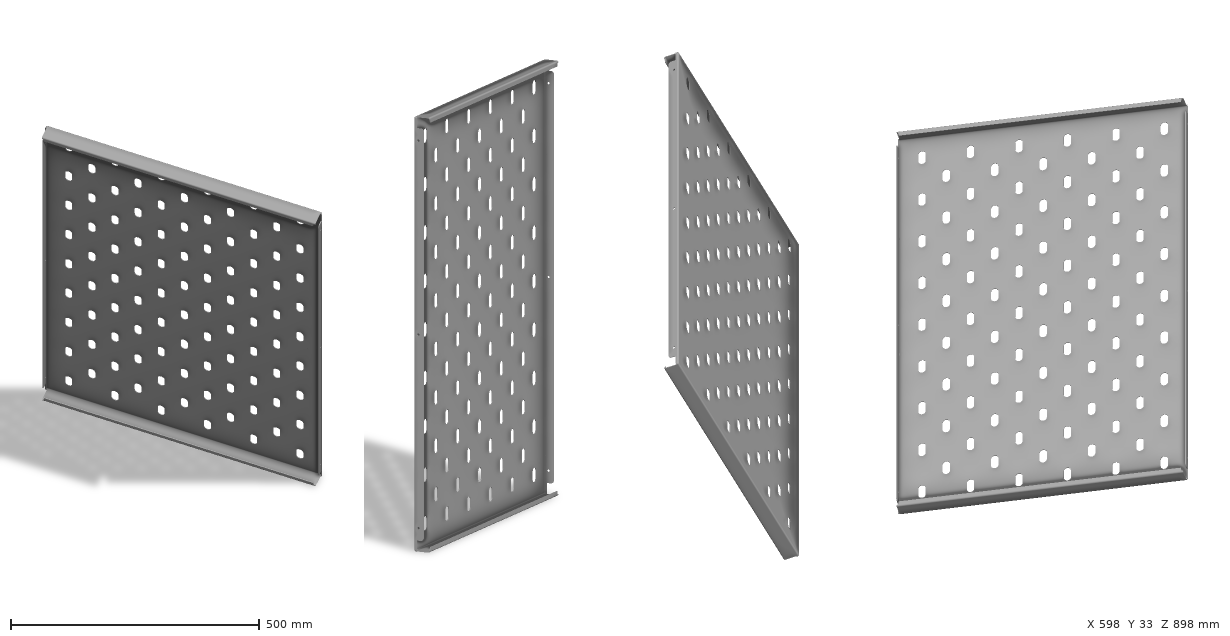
import cadquery as cq

width = 598.0
depth = 33.0
height = 898.0

sheet = 1.5
fold_radius = 3.1

lip_height = 11.0
lip_end_gap = 6.0
lip_miter = 2.0

side_depth = 22.0
side_flange_gap = 23.0
side_corner_radius = 6.0
corner_depth = 5.8

slot_width = 15.0
slot_height = 30.5
columns = 6
rows = 9
slot_field_height = 800.0
slot_pitch = slot_field_height / (rows - 1)

hole_diameter = 4.9
hole_from_back = 10.0
hole_count = 3
hole_spacing = slot_field_height / (hole_count - 1)

back_y = depth / 2
front_y = -depth / 2
flange_length = width - 2 * fold_radius
lip_opening = height - 2 * lip_height
side_flange_length = height - 2 * side_flange_gap


def hollow_box():
    """Closed box of sheet thickness with rounded folds along all of its edges."""
    outside = cq.Workplane("XY").box(width, depth, height).edges().fillet(fold_radius)
    cavity = (
        cq.Workplane("XY")
        .box(width - 2 * sheet, depth - 2 * sheet, height - 2 * sheet)
        .edges()
        .fillet(fold_radius - sheet)
    )
    return outside.cut(cavity)


def lip_window():
    """Cutter for the front wall: it leaves the two lips, whose ends slope in to their tips."""
    half_base = width / 2 - lip_end_gap
    half_tip = half_base - lip_miter
    half_root = height / 2 - fold_radius
    wall = cq.Workplane("XY").box(width, fold_radius, 2 * half_root)
    wall = wall.translate((0, front_y + fold_radius / 2, 0))
    for side in (-1, 1):
        lip = (
            cq.Workplane("XZ", origin=(0, front_y + fold_radius, 0))
            .moveTo(-half_base, side * half_root)
            .lineTo(half_base, side * half_root)
            .lineTo(half_tip, side * lip_opening / 2)
            .lineTo(-half_tip, side * lip_opening / 2)
            .close()
            .extrude(fold_radius)
        )
        wall = wall.cut(lip)
    return wall


def flange_zone():
    """Space that holds the top and bottom flanges with their lips."""
    return cq.Workplane("XY").box(flange_length, depth, height).cut(lip_window())


def side_zone():
    """Space that holds the side flanges, rounded at their free corners."""
    return (
        cq.Workplane("XY")
        .box(width, side_depth, side_flange_length)
        .translate((0, back_y - side_depth / 2, 0))
        .edges("|X and <Y")
        .fillet(side_corner_radius)
    )


def rim_zone():
    """Space that holds the back plate and the low rim around its corners."""
    return (
        cq.Workplane("XY")
        .box(width, corner_depth, height)
        .translate((0, back_y - corner_depth / 2, 0))
    )


def slot_grid(column_count, row_count):
    """Cutter for one centered grid of upright slots through the back plate."""
    return (
        cq.Workplane("XZ", origin=(0, back_y, 0))
        .rarray(slot_pitch, slot_pitch, column_count, row_count)
        .slot2D(slot_height, slot_width, 90)
        .extrude(sheet)
    )


def side_holes():
    """Cutter for the row of small holes through both side flanges."""
    return (
        cq.Workplane("YZ", origin=(0, back_y - hole_from_back, 0))
        .rarray(9, hole_spacing, 1, hole_count)
        .circle(hole_diameter / 2)
        .extrude(width / 2, both=True)
    )


panel = hollow_box().intersect(flange_zone().union(side_zone()).union(rim_zone()))
panel = panel.cut(slot_grid(columns, rows))
panel = panel.cut(slot_grid(columns - 1, rows - 1))
result = panel.cut(side_holes())